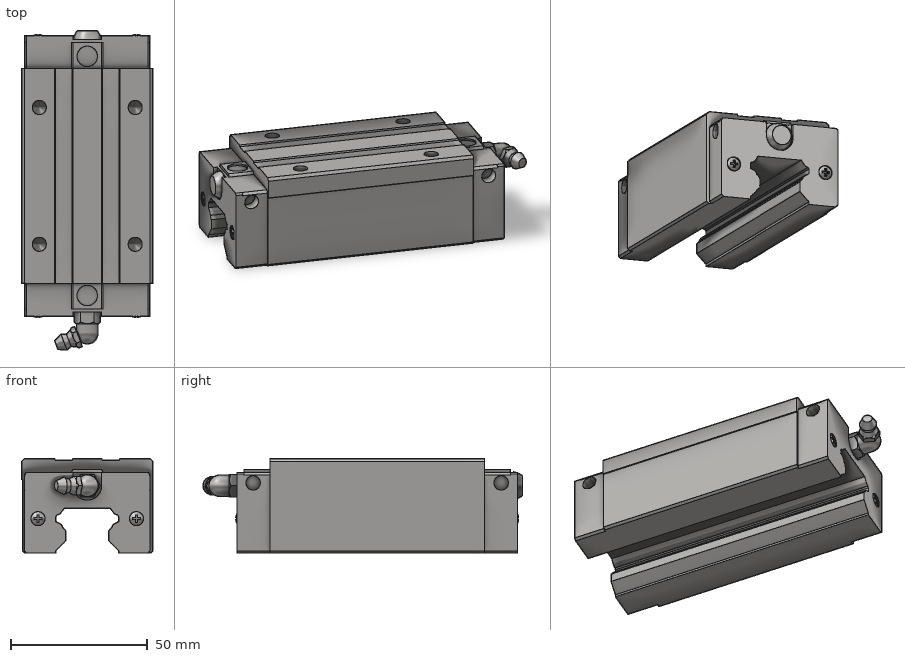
import cadquery as cq
import math

TOTAL_LENGTH = 116.7

BLOCK_WIDTH = 48.0
BLOCK_LENGTH = 78.4
BLOCK_HEIGHT = 34.5
BLOCK_TOP_CHAMFER = 1.0
BOTTOM_CHAMFER = 0.8
SIDE_STEP_HEIGHT = 26.8
SIDE_STEP_DEPTH = 0.4
GROOVE_INNER_X = 5.3
GROOVE_OUTER_X = 11.9
GROOVE_DEPTH = 0.6
GROOVE_SIDE_SLOPE = 0.2
MOUNT_SPACING_X = 35.0
MOUNT_SPACING_Y = 50.0
MOUNT_DIAMETER = 5.1
MOUNT_DEPTH = 9.3
DRILL_POINT_ANGLE = 118.0

END_WIDTH = 45.8
END_HEIGHT = 29.5
END_CHAMFER_WIDTH = 0.7
CAP_THICKNESS = 9.5
CAP_CHAMFER_DROP = 1.0
SEAL_THICKNESS = 2.6
SEAL_CHAMFER_DROP = 0.7
PAD_TOP_WIDTH = 10.3
PAD_BASE_WIDTH = 11.7
PAD_HEIGHT = 1.0
PAD_RECESS_DIAMETER = 7.5
PAD_RECESS_DEPTH = 0.7
PAD_RECESS_Y = 43.6
SIDE_PORT_DIAMETER = 5.3
SIDE_PORT_DEPTH = 4.7
SIDE_PORT_Y = 45.3
SIDE_PORT_Z = 25.7

CAP_FACE_Y = BLOCK_LENGTH / 2 + CAP_THICKNESS
SEAL_FACE_Y = CAP_FACE_Y + SEAL_THICKNESS

NOTCH_RADIUS = 5.3
NOTCH_DEPTH = 1.5
FITTING_Z = 24.6
NOTCH_FLOOR_Y = SEAL_FACE_Y - NOTCH_DEPTH

SCREW_X = 18.0
SCREW_Z = 12.6
SCREW_RADIUS = 2.6
SCREW_SEAT_DEPTH = 0.6
SCREW_DOME_HEIGHT = 1.0
CROSS_LENGTH = 2.8
CROSS_WIDTH = 0.7
CROSS_DEPTH = 0.9

RAIL_ROOF_X = 8.4
RAIL_ROOF_Z = 16.3
RAIL_WAIST_X = 11.4
RAIL_WAIST_BOTTOM_Z = 11.5
RAIL_WAIST_TOP_Z = 13.3
RAIL_LIP_X = 7.8
RAIL_LIP_TOP_Z = 8.2
RAIL_ENTRY_HEIGHT = 0.9
LOWER_CURVE = [(9.0, 9.5), (9.6, 10.5), (10.6, 11.1)]
UPPER_CURVE = [(11.1, 13.9), (10.2, 14.2), (9.5, 14.9)]

HEX_RADIUS = 4.8
HEX_LENGTH = 4.3
HEX_CHAMFER = 0.7
ELBOW_RADIUS = 4.0
ELBOW_LENGTH = 3.4
NOZZLE_ANGLE = 21.0
COLLAR_RADIUS = 4.0
COLLAR_START = 3.4
COLLAR_END = 5.4
COLLAR_CHAMFER = 0.6
NECK_RADIUS = 2.5
NECK_END = 7.2
HEAD_RADIUS = 3.2
HEAD_WIDEST = 9.1
TIP_RADIUS = 1.8
TIP_END = 12.1

PLUG_BASE_RADIUS = 5.1
PLUG_SHOULDER_RADIUS = 4.7
PLUG_TOP_RADIUS = 3.6


def extrude_along_y(profile, y_start, y_end):
    """Extrude an XZ profile from y_start to y_end."""
    return profile.extrude(y_start - y_end).translate((0, y_start, 0))


def both_ends(solid):
    return solid.union(solid.mirror("XZ"))


def make_block():
    half_width = BLOCK_WIDTH / 2
    block = cq.Workplane("XY").box(BLOCK_WIDTH, BLOCK_LENGTH, BLOCK_HEIGHT, centered=(True, True, False))
    block = block.edges("|Y and >Z").chamfer(BLOCK_TOP_CHAMFER)
    half_length = BLOCK_LENGTH / 2
    step = cq.Workplane("XY").box(
        SIDE_STEP_DEPTH, BLOCK_LENGTH, SIDE_STEP_HEIGHT, centered=(False, True, False)
    )
    block = block.cut(step.translate((-half_width, 0, 0)))
    block = block.edges("|Y and <Z").chamfer(BOTTOM_CHAMFER)
    groove_floor = BLOCK_HEIGHT - GROOVE_DEPTH
    groove = cq.Workplane("XZ").polyline(
        [
            (GROOVE_INNER_X, BLOCK_HEIGHT),
            (GROOVE_INNER_X + GROOVE_SIDE_SLOPE, groove_floor),
            (GROOVE_OUTER_X - GROOVE_SIDE_SLOPE, groove_floor),
            (GROOVE_OUTER_X, BLOCK_HEIGHT),
        ]
    ).close()
    groove = extrude_along_y(groove, -half_length, half_length)
    block = block.cut(groove).cut(groove.mirror("YZ"))
    return block.cut(make_mount_holes())


def make_mount_holes():
    radius = MOUNT_DIAMETER / 2
    point_depth = radius / math.tan(math.radians(DRILL_POINT_ANGLE / 2))
    hole = (
        cq.Workplane("XZ")
        .polyline(
            [
                (0, BLOCK_HEIGHT),
                (radius, BLOCK_HEIGHT),
                (radius, BLOCK_HEIGHT - MOUNT_DEPTH),
                (0, BLOCK_HEIGHT - MOUNT_DEPTH - point_depth),
            ]
        )
        .close()
        .revolve(360, (0, 0, 0), (0, 1, 0))
    )
    places = cq.Workplane("XY").rarray(MOUNT_SPACING_X, MOUNT_SPACING_Y, 2, 2)
    return places.eachpoint(hole.val(), combine=True)


def make_end_plate(y_start, y_end, chamfer_drop):
    """Plate with bevelled corners; chamfer_drop is the height of the top bevels."""
    half_width = END_WIDTH / 2
    profile = cq.Workplane("XZ").polyline(
        [
            (-half_width, 0),
            (half_width, 0),
            (half_width, END_HEIGHT - chamfer_drop),
            (half_width - END_CHAMFER_WIDTH, END_HEIGHT),
            (END_CHAMFER_WIDTH - half_width, END_HEIGHT),
            (-half_width, END_HEIGHT - chamfer_drop),
        ]
    ).close()
    return extrude_along_y(profile, y_start, y_end).edges("|Y and <Z").chamfer(BOTTOM_CHAMFER)


def make_cap():
    """Front end cap with its raised top pad and side ports."""
    cap = make_end_plate(-CAP_FACE_Y, -BLOCK_LENGTH / 2, CAP_CHAMFER_DROP)
    pad_top = END_HEIGHT + PAD_HEIGHT
    pad = cq.Workplane("XZ").polyline(
        [
            (-PAD_BASE_WIDTH / 2, END_HEIGHT),
            (PAD_BASE_WIDTH / 2, END_HEIGHT),
            (PAD_TOP_WIDTH / 2, pad_top),
            (-PAD_TOP_WIDTH / 2, pad_top),
        ]
    ).close()
    cap = cap.union(extrude_along_y(pad, -CAP_FACE_Y, -BLOCK_LENGTH / 2))
    recess = cq.Workplane("XY").circle(PAD_RECESS_DIAMETER / 2).extrude(-PAD_RECESS_DEPTH)
    cap = cap.cut(recess.translate((0, -PAD_RECESS_Y, pad_top)))
    port = cq.Workplane("YZ").circle(SIDE_PORT_DIAMETER / 2).extrude(SIDE_PORT_DEPTH)
    port = port.translate((-END_WIDTH / 2, -SIDE_PORT_Y, SIDE_PORT_Z))
    return cap.cut(port).cut(port.mirror("YZ"))


def make_seal():
    """Front seal plate with its notch and two screws."""
    seal = make_end_plate(-SEAL_FACE_Y, -CAP_FACE_Y, SEAL_CHAMFER_DROP)
    notch = (
        cq.Workplane("XZ")
        .moveTo(-NOTCH_RADIUS, END_HEIGHT)
        .lineTo(-NOTCH_RADIUS, FITTING_Z)
        .threePointArc((0, FITTING_Z - NOTCH_RADIUS), (NOTCH_RADIUS, FITTING_Z))
        .lineTo(NOTCH_RADIUS, END_HEIGHT)
        .close()
    )
    seal = seal.cut(extrude_along_y(notch, -SEAL_FACE_Y, -NOTCH_FLOOR_Y))
    seat_y = SCREW_SEAT_DEPTH - SEAL_FACE_Y
    for x in (-SCREW_X, SCREW_X):
        seat = cq.Workplane("XZ").center(x, SCREW_Z).circle(SCREW_RADIUS)
        seal = seal.cut(extrude_along_y(seat, -SEAL_FACE_Y, seat_y))
        seal = seal.union(make_screw_head().translate((x, seat_y, SCREW_Z)))
    return seal


def make_screw_head():
    """Domed head on the XZ plane, rising toward -Y, with a cross recess."""
    dome_radius = (SCREW_RADIUS**2 + SCREW_DOME_HEIGHT**2) / (2 * SCREW_DOME_HEIGHT)
    sphere = cq.Workplane("XY").sphere(dome_radius)
    sphere = sphere.translate((0, dome_radius - SCREW_DOME_HEIGHT, 0))
    head = cq.Workplane("XZ").circle(SCREW_RADIUS).extrude(SCREW_DOME_HEIGHT).intersect(sphere)
    for width, height in ((CROSS_LENGTH, CROSS_WIDTH), (CROSS_WIDTH, CROSS_LENGTH)):
        arm = cq.Workplane("XZ").rect(width, height)
        head = head.cut(extrude_along_y(arm, -SCREW_DOME_HEIGHT, CROSS_DEPTH - SCREW_DOME_HEIGHT))
    return head


def make_rail_opening():
    """Rail passage along the whole carriage, mirrored about the middle."""
    half = (
        cq.Workplane("XZ")
        .lineTo(RAIL_WAIST_X, 0)
        .lineTo(RAIL_WAIST_X, RAIL_ENTRY_HEIGHT)
        .lineTo(RAIL_LIP_X, RAIL_ENTRY_HEIGHT + RAIL_WAIST_X - RAIL_LIP_X)
        .lineTo(RAIL_LIP_X, RAIL_LIP_TOP_Z)
        .lineTo(*LOWER_CURVE[0])
        .threePointArc(*LOWER_CURVE[1:])
        .lineTo(RAIL_WAIST_X, RAIL_WAIST_BOTTOM_Z)
        .lineTo(RAIL_WAIST_X, RAIL_WAIST_TOP_Z)
        .lineTo(*UPPER_CURVE[0])
        .threePointArc(*UPPER_CURVE[1:])
        .lineTo(RAIL_ROOF_X, RAIL_ROOF_Z)
        .lineTo(0, RAIL_ROOF_Z)
        .close()
    )
    half = extrude_along_y(half, -SEAL_FACE_Y, SEAL_FACE_Y)
    return half.union(half.mirror("YZ"))


def revolve_about_y(profile):
    return profile.revolve(360, (0, 0, 0), (0, 1, 0))


def make_hexagon(corner_radius, length, chamfer):
    """Hexagon along +Y from the origin, with its far corners bevelled."""
    prism = cq.Workplane("XZ").polygon(6, 2 * corner_radius).extrude(-length)
    bevel = cq.Workplane("XY").polyline(
        [
            (0, 0),
            (corner_radius, 0),
            (corner_radius, length - chamfer),
            (corner_radius - chamfer, length),
            (0, length),
        ]
    ).close()
    return prism.intersect(revolve_about_y(bevel))


def make_nozzle():
    """Angled nozzle along +Y, starting at the elbow centre."""
    cone_radius = COLLAR_RADIUS - COLLAR_CHAMFER
    body = cq.Workplane("XY").polyline(
        [
            (0, 0),
            (NECK_RADIUS, 0),
            (NECK_RADIUS, COLLAR_END),
            (cone_radius, COLLAR_END),
            (NECK_RADIUS, NECK_END),
            (HEAD_RADIUS, HEAD_WIDEST),
            (TIP_RADIUS, TIP_END),
            (0, TIP_END),
        ]
    ).close()
    collar = make_hexagon(COLLAR_RADIUS, COLLAR_END - COLLAR_START, COLLAR_CHAMFER)
    return revolve_about_y(body).union(collar.translate((0, COLLAR_START, 0)))


def make_grease_nipple():
    """Nipple along -Y from the floor of the front notch."""
    hexagon = make_hexagon(HEX_RADIUS, HEX_LENGTH, HEX_CHAMFER).mirror("XZ")
    elbow_y = -HEX_LENGTH - ELBOW_LENGTH
    elbow = cq.Workplane("XZ").circle(ELBOW_RADIUS).extrude(-elbow_y)
    elbow = elbow.union(cq.Workplane("XY").sphere(ELBOW_RADIUS).translate((0, elbow_y, 0)))
    nozzle = make_nozzle().rotate((0, 0, 0), (0, 0, 1), 90 + NOZZLE_ANGLE)
    nipple = hexagon.union(elbow).union(nozzle.translate((0, elbow_y, 0)))
    return nipple.translate((0, -NOTCH_FLOOR_Y, FITTING_Z))


def make_plug():
    """Plug along +Y from the rear notch, reaching the total length."""
    angle = math.radians(NOZZLE_ANGLE)
    nipple_reach = (
        NOTCH_FLOOR_Y
        + HEX_LENGTH
        + ELBOW_LENGTH
        + HEAD_WIDEST * math.sin(angle)
        + HEAD_RADIUS * math.cos(angle)
    )
    height = TOTAL_LENGTH - nipple_reach - NOTCH_FLOOR_Y
    profile = (
        cq.Workplane("XY")
        .lineTo(PLUG_BASE_RADIUS, 0)
        .threePointArc((PLUG_SHOULDER_RADIUS, height / 2), (PLUG_TOP_RADIUS, height))
        .lineTo(0, height)
        .close()
    )
    return revolve_about_y(profile).translate((0, NOTCH_FLOOR_Y, FITTING_Z))


result = make_block().union(both_ends(make_cap())).union(both_ends(make_seal()))
result = result.cut(make_rail_opening())
result = result.union(make_grease_nipple()).union(make_plug())